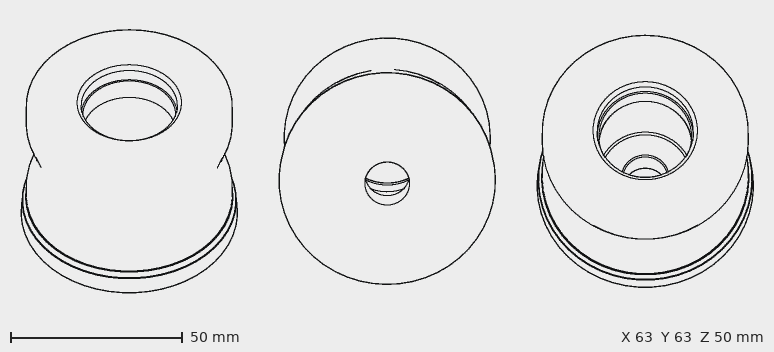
import cadquery as cq
import math

total_height = 50.0
base_radius = 31.5

seat_height = 10.2
foot_radius = 24.7
foot_cone_top = 1.7
foot_cone_radius = 30.05
widest_height = 3.35
rim_rounding = 1.8
taper_top = 7.2
taper_top_radius = 31.2
lip_radius = 31.2
lip_height = 8.45
lip_bevel = 0.2
collar_radius = 30.5
collar_height = 9.8
seat_radius = 30.2
blend_bow = 0.03
hole_radius = 6.5
hole_chamfer = 0.45

sleeve_radius = 30.0
sleeve_edge_chamfer = 0.22
top_rounding = 1.5
neck_radius = 27.15
neck_height = 28.65
neck_arc_radius = 21.1
upper_flank_angle = math.radians(20.8)
lower_flank_angle = math.radians(16.1)
upper_shoulder_rounding = 5.5
lower_shoulder_rounding = 10.1

mouth_radius = 14.0
mouth_chamfer = 1.2
mouth_depth = 5.1
bore_radius = 13.5
relief_depth = 12.1
relief_steep_length = 0.75
relief_steep_growth = 0.25
relief_shallow_length = 0.25
relief_shallow_growth = 0.05
foot_bore_radius = 13.15


def revolve_profile(profile):
    """Close a radius/height outline and turn it once around Z."""
    return profile.close().revolve(360, (0, 0, 0), (0, 1, 0))


def flank_points(angle, rounding, side):
    """Neck-arc end, cone end and shoulder end; side is 1 above the neck, -1 below."""
    arc_radius = neck_radius + neck_arc_radius * (1 - math.cos(angle))
    arc_offset = neck_arc_radius * math.sin(angle)
    cone_radius = sleeve_radius - rounding * (1 - math.cos(angle))
    cone_offset = arc_offset + (cone_radius - arc_radius) / math.tan(angle)
    shoulder_offset = cone_offset + rounding * math.sin(angle)
    return (
        (arc_radius, neck_height + side * arc_offset),
        (cone_radius, neck_height + side * cone_offset),
        (sleeve_radius, neck_height + side * shoulder_offset),
    )


def make_base():
    """Disc with a tapered rim, a coned underside and a central through hole."""
    blend_middle = (
        (lip_radius + taper_top_radius) / 2 - blend_bow,
        (lip_height + taper_top) / 2,
    )
    profile = (
        cq.Workplane("XZ")
        .moveTo(hole_radius, 0)
        .lineTo(foot_radius, 0)
        .lineTo(foot_cone_radius, foot_cone_top)
        .radiusArc((base_radius, widest_height), -rim_rounding)
        .lineTo(taper_top_radius, taper_top)
        .threePointArc(blend_middle, (lip_radius, lip_height))
        .lineTo(lip_radius - lip_bevel, lip_height + lip_bevel)
        .lineTo(collar_radius, collar_height)
        .lineTo(seat_radius, seat_height)
        .lineTo(hole_radius + hole_chamfer, seat_height)
        .lineTo(hole_radius, seat_height - hole_chamfer)
    )
    return revolve_profile(profile)


def make_sleeve():
    """Waisted sleeve with a stepped through bore, standing on the base."""
    lower_arc, lower_cone, lower_shoulder = flank_points(lower_flank_angle, lower_shoulder_rounding, -1)
    upper_arc, upper_cone, upper_shoulder = flank_points(upper_flank_angle, upper_shoulder_rounding, 1)
    ledge_height = total_height - mouth_depth
    relief_top = total_height - relief_depth
    relief_bend = relief_top - relief_steep_length
    relief_bottom = relief_bend - relief_shallow_length
    bend_radius = bore_radius + relief_steep_growth
    relief_radius = bend_radius + relief_shallow_growth
    foot_bevel = relief_radius - foot_bore_radius

    profile = (
        cq.Workplane("XZ")
        .moveTo(foot_bore_radius, seat_height)
        .lineTo(sleeve_radius - sleeve_edge_chamfer, seat_height)
        .lineTo(sleeve_radius, seat_height + sleeve_edge_chamfer)
        .lineTo(*lower_shoulder)
        .radiusArc(lower_cone, -lower_shoulder_rounding)
        .lineTo(*lower_arc)
        .threePointArc((neck_radius, neck_height), upper_arc)
        .lineTo(*upper_cone)
        .radiusArc(upper_shoulder, -upper_shoulder_rounding)
        .lineTo(sleeve_radius, total_height - top_rounding)
        .radiusArc((sleeve_radius - top_rounding, total_height), -top_rounding)
        .lineTo(mouth_radius + mouth_chamfer, total_height)
        .lineTo(mouth_radius, total_height - mouth_chamfer)
        .lineTo(mouth_radius, ledge_height)
        .lineTo(bore_radius, ledge_height)
        .lineTo(bore_radius, relief_top)
        .lineTo(bend_radius, relief_bend)
        .lineTo(relief_radius, relief_bottom)
        .lineTo(relief_radius, seat_height + foot_bevel)
    )
    return revolve_profile(profile)


base = make_base()
sleeve = make_sleeve()

result = cq.Compound.makeCompound([base.val(), sleeve.val()])